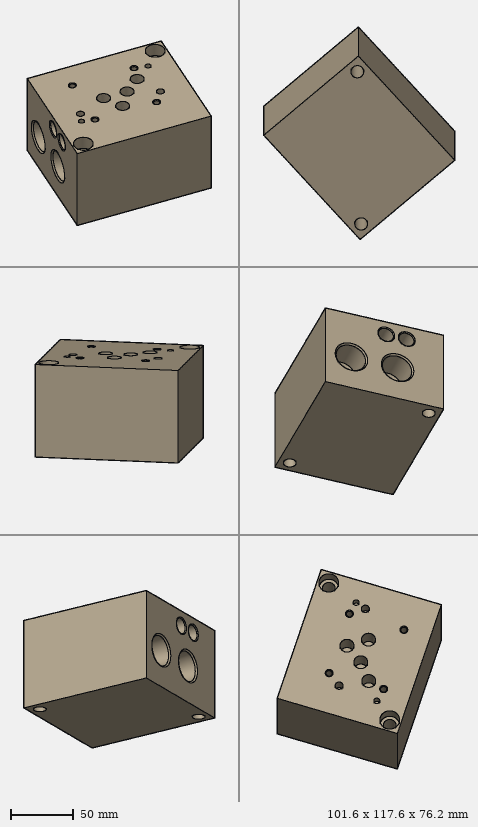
import cadquery as cq
import math

LENGTH_X = 101.6
LENGTH_Y = 117.6
HEIGHT = 76.2

MOUNT_INSET = 9.4
MOUNT_D = 10.3
MOUNT_BORE_D = 15.9
MOUNT_BORE_DEPTH = 11.8

BOLT_LEFT = 22.2
BOLT_FRONT = 30.0
BOLT_PITCH_X = 46.0
BOLT_PITCH_Y = 54.1
BOLT_D = 4.9
BOLT_MOUTH_D = 6.4
BOLT_DEPTH = 17.6

CENTRE_LINE_Y = BOLT_FRONT + BOLT_PITCH_Y / 2
MAIN_PASSAGE_D = 11.2
MAIN_PASSAGE_DEPTH = 17.6
MAIN_PASSAGES = [(35.8, 81.0), (46.8, 67.4), (61.7, CENTRE_LINE_Y), (46.8, 46.8)]
PILOT_PASSAGE_D = 6.4
PILOT_PASSAGE_DEPTH = 11.8
PILOT_PASSAGE_X = 57.3
PILOT_PITCH_Y = 70.1
PILOT_PASSAGES = [(PILOT_PASSAGE_X, CENTRE_LINE_Y + side * PILOT_PITCH_Y / 2) for side in (-1, 1)]
PIN_D = 4.8
PIN_DEPTH = 7.0
PINS = [(24.3, 95.5), (66.0, 19.0)]

MAIN_PORT_Z = 31.8
MAIN_PORT_XS = (22.3, 62.0)
MAIN_PORT_MOUTH_D = 27.9
MAIN_PORT_D = 25.3
MAIN_PORT_END_D = 24.0
MAIN_PORT_DEPTH = 23.5
PILOT_PORT_Z = 63.4
PILOT_PORT_XS = (52.2, 69.9)
PILOT_PORT_MOUTH_D = 14.6
PILOT_PORT_D = 12.9
PILOT_PORT_END_D = 12.0
PILOT_PORT_DEPTH = 14.1

DRILL_POINT_ANGLE = 118.0


def drilled_cutter(mouth_d, bore_d, end_d, depth):
    """Cutter along +Y from the origin: 45 degree mouth, straight or tapered bore, conical drill point."""
    mouth_depth = (mouth_d - bore_d) / 2
    point_depth = end_d / 2 / math.tan(math.radians(DRILL_POINT_ANGLE / 2))
    profile = (
        cq.Workplane("XY")
        .polyline(
            [
                (0, 0),
                (mouth_d / 2, 0),
                (bore_d / 2, mouth_depth),
                (end_d / 2, depth),
                (0, depth + point_depth),
            ]
        )
        .close()
    )
    return profile.revolve(360, (0, 0, 0), (0, 1, 0))


def cut_mounting_holes(block):
    centres = [(MOUNT_INSET, LENGTH_Y - MOUNT_INSET), (LENGTH_X - MOUNT_INSET, MOUNT_INSET)]
    top = block.faces(">Z").workplane(origin=(0, 0, HEIGHT))
    return top.pushPoints(centres).cboreHole(MOUNT_D, MOUNT_BORE_D, MOUNT_BORE_DEPTH)


def cut_bolt_holes(block):
    cutter = drilled_cutter(BOLT_MOUTH_D, BOLT_D, BOLT_D, BOLT_DEPTH).rotate((0, 0, 0), (1, 0, 0), -90)
    for x in (BOLT_LEFT, BOLT_LEFT + BOLT_PITCH_X):
        for y in (BOLT_FRONT, BOLT_FRONT + BOLT_PITCH_Y):
            block = block.cut(cutter.translate((x, y, HEIGHT)))
    return block


def cut_flat_holes(block, centres, diameter, depth):
    top = block.faces(">Z").workplane(origin=(0, 0, HEIGHT))
    return top.pushPoints(centres).hole(diameter, depth)


def cut_ports(block, xs, z, cutter):
    for x in xs:
        block = block.cut(cutter.translate((x, 0, z)))
    return block


block = cq.Workplane("XY").box(LENGTH_X, LENGTH_Y, HEIGHT, centered=False)
block = cut_mounting_holes(block)
block = cut_bolt_holes(block)
block = cut_flat_holes(block, MAIN_PASSAGES, MAIN_PASSAGE_D, MAIN_PASSAGE_DEPTH)
block = cut_flat_holes(block, PILOT_PASSAGES, PILOT_PASSAGE_D, PILOT_PASSAGE_DEPTH)
block = cut_flat_holes(block, PINS, PIN_D, PIN_DEPTH)
main_port = drilled_cutter(MAIN_PORT_MOUTH_D, MAIN_PORT_D, MAIN_PORT_END_D, MAIN_PORT_DEPTH)
block = cut_ports(block, MAIN_PORT_XS, MAIN_PORT_Z, main_port)
pilot_port = drilled_cutter(PILOT_PORT_MOUTH_D, PILOT_PORT_D, PILOT_PORT_END_D, PILOT_PORT_DEPTH)
block = cut_ports(block, PILOT_PORT_XS, PILOT_PORT_Z, pilot_port)

result = block